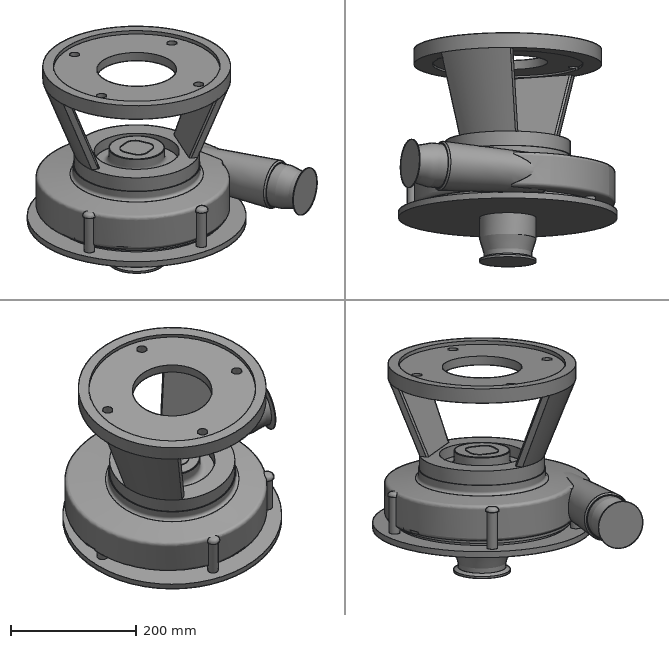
import math

import cadquery as cq

base_thickness = 9.8
body_bottom = 19.5
body_middle = 48.0
hub_foot = 83.0
hub_step = 99.0
hub_top = 122.5
flange_bottom = 249.0
flange_top = 273.0
inlet_bottom = -71.5

base_radius = 174.8
cover_radius = 138.0
cover_rim_radius = 143.0
cover_rim_bottom = 14.5

volute_large_radius = 174.5
volute_mid_radius = 161.5
volute_end_radius = 148.0
volute_start_angle = 135.0
spiral_start_angle = 180.0
spiral_end_angle = 320.0
spiral_end_radius = 154.5
volute_late_angle = 28.0
volute_late_radius = 150.8
volute_end_angle = 96.0
lid_slope = 0.11
lid_inner_radius = 105.0
volute_fillet = 6.0
lid_rim_margin = 1.0
tongue_middle = (33.0, 171.0)
tongue_tip = (75.0, 158.0)

hub_radius = 100.0
hub_foot_radius = 101.5
hub_foot_fillet = 5.0
hub_bore_radius = 68.0
hub_floor = 104.0
shaft_radius = 44.5
shaft_top = 129.5
shaft_fillet = 10.0
shaft_chamfer = 1.0
drive_square = 48.0
drive_corner_radius = 16.5
drive_depth = 1.0
drive_angle = 45.0

flange_radius = 150.0
flange_recess_radius = 133.0
flange_recess_depth = 6.0
flange_bore_radius = 63.5
flange_relief_radius = 120.0
flange_relief_depth = 3.3
flange_hole_offset = 80.5
flange_hole_diameter = 16.0

leg_top_half_width = 59.3
leg_bottom_half_width = 48.0
leg_corner_inset = 23.0
leg_chamfer = 3.0

outlet_angle = 45.0
outlet_offset = 139.6
outlet_cone_start = 0.0
outlet_cone_end = 176.0
outlet_start_radius = 31.0
outlet_end_radius = 39.4
outlet_collar_radius = 37.0
outlet_collar_end = 179.0
outlet_sleeve_radius = 35.3
outlet_sleeve_end = 195.5
outlet_neck_radius = 30.5
outlet_neck_start = 217.5
outlet_neck_end = 226.5
outlet_rim_radius = 38.7
outlet_rim_start = 229.0
outlet_end = 230.4

inlet_radius = 45.2
inlet_neck_radius = 38.3
inlet_taper_top = -34.7
inlet_neck_top = -57.0
inlet_neck_bottom = -64.5
inlet_rim_top = -68.0

post_count = 5
post_circle_radius = 153.0
post_diameter = 17.0
post_first_angle = 27.0
exposed_posts = (0, 4)
exposed_post_top = 77.5
post_head_bottom = 71.0
post_head_radius = 10.8
post_head_fillet = 6.0


def polar(radius, angle):
    return (radius * math.cos(math.radians(angle)), radius * math.sin(math.radians(angle)))


def beside_outlet(along, across):
    """Plan position given along the outlet direction and square to it."""
    c = math.cos(math.radians(outlet_angle))
    s = math.sin(math.radians(outlet_angle))
    return (along * c - across * s, along * s + across * c)


def disc(radius, bottom, top):
    return cq.Workplane("XY").workplane(offset=bottom).circle(radius).extrude(top - bottom)


def turned(profile):
    """Solid of revolution about Z from (radius, height) points."""
    return cq.Workplane("XZ").polyline(profile).close().revolve(360, (0, 0, 0), (0, 1, 0))


def make_base():
    plate = disc(base_radius, 0, base_thickness)
    cover = disc(cover_radius, 0, body_bottom)
    rim = disc(cover_rim_radius, cover_rim_bottom, body_bottom)
    return plate.union(cover).union(rim)


def make_volute():
    spiral_mid_angle = (spiral_start_angle + spiral_end_angle) / 2
    large_mid_angle = (volute_start_angle + spiral_start_angle) / 2
    outline = (
        cq.Workplane("XY")
        .workplane(offset=body_bottom)
        .moveTo(*polar(volute_large_radius, volute_start_angle))
        .threePointArc(
            polar(volute_large_radius, large_mid_angle),
            polar(volute_large_radius, spiral_start_angle),
        )
        .threePointArc(
            polar(volute_mid_radius, spiral_mid_angle),
            polar(spiral_end_radius, spiral_end_angle),
        )
        .threePointArc(
            polar(volute_late_radius, volute_late_angle),
            polar(volute_end_radius, volute_end_angle),
        )
        .lineTo(*beside_outlet(*tongue_tip))
        .threePointArc(
            beside_outlet(*tongue_middle),
            polar(volute_large_radius, volute_start_angle),
        )
        .close()
    )
    lid_outer_radius = 2 * volute_large_radius
    lid_edge = hub_foot - lid_slope * (lid_outer_radius - lid_inner_radius)
    envelope = turned(
        [
            (0, body_bottom),
            (lid_outer_radius, body_bottom),
            (lid_outer_radius, lid_edge),
            (lid_inner_radius, hub_foot),
            (0, hub_foot),
        ]
    )
    body = outline.extrude(hub_foot - body_bottom).intersect(envelope)
    lid_rim_zone = cq.selectors.BoxSelector(
        (-lid_outer_radius, -lid_outer_radius, body_middle + volute_fillet),
        (lid_outer_radius, lid_outer_radius, hub_foot - lid_rim_margin),
    )
    rim_edges = body.edges(lid_rim_zone)
    rim_edges = rim_edges.add(body.faces("<Z").edges())
    return rim_edges.fillet(volute_fillet)


def make_hub():
    fillet_top = hub_foot + hub_foot_fillet
    fillet_radius = hub_foot_radius + hub_foot_fillet
    bend = hub_foot_fillet * (1 - math.sqrt(0.5))
    ring = (
        cq.Workplane("XZ")
        .moveTo(0, hub_foot - hub_foot_fillet)
        .lineTo(fillet_radius, hub_foot - hub_foot_fillet)
        .lineTo(fillet_radius, hub_foot)
        .threePointArc((hub_foot_radius + bend, hub_foot + bend), (hub_foot_radius, fillet_top))
        .lineTo(hub_foot_radius, hub_step)
        .lineTo(hub_radius, hub_step)
        .lineTo(hub_radius, hub_top)
        .lineTo(0, hub_top)
        .close()
        .revolve(360, (0, 0, 0), (0, 1, 0))
    )
    ring = ring.cut(disc(hub_bore_radius, hub_floor, hub_top))
    shaft_bend = shaft_fillet * (1 - math.sqrt(0.5))
    shaft = (
        cq.Workplane("XZ")
        .moveTo(0, hub_foot)
        .lineTo(shaft_radius + shaft_fillet, hub_foot)
        .lineTo(shaft_radius + shaft_fillet, hub_floor)
        .threePointArc(
            (shaft_radius + shaft_bend, hub_floor + shaft_bend),
            (shaft_radius, hub_floor + shaft_fillet),
        )
        .lineTo(shaft_radius, shaft_top - shaft_chamfer)
        .lineTo(shaft_radius - shaft_chamfer, shaft_top)
        .lineTo(0, shaft_top)
        .close()
        .revolve(360, (0, 0, 0), (0, 1, 0))
    )
    drive = (
        cq.Workplane("XY")
        .workplane(offset=shaft_top - drive_depth)
        .rect(drive_square, drive_square)
        .extrude(drive_depth)
        .edges("|Z")
        .fillet(drive_corner_radius)
        .rotate((0, 0, 0), (0, 0, 1), drive_angle)
    )
    return ring.union(shaft).cut(drive)


def make_flange():
    flange = disc(flange_radius, flange_bottom, flange_top)
    flange = flange.cut(disc(flange_recess_radius, flange_top - flange_recess_depth, flange_top))
    relief_top = flange_bottom + flange_relief_depth
    flange = flange.cut(disc(flange_relief_radius, flange_bottom, relief_top))
    flange = flange.cut(disc(flange_bore_radius, flange_bottom, flange_top))
    holes = (
        cq.Workplane("XY")
        .workplane(offset=flange_bottom)
        .rect(2 * flange_hole_offset, 2 * flange_hole_offset, forConstruction=True)
        .vertices()
        .circle(flange_hole_diameter / 2)
        .extrude(flange_top - flange_bottom)
    )
    return flange.cut(holes)


def leg_section(height, radius, half_width):
    corner = math.sqrt(radius**2 - half_width**2)
    path = (
        cq.Workplane("XY")
        .workplane(offset=height)
        .moveTo(-half_width, -corner)
        .threePointArc((0, -radius), (half_width, -corner))
        .lineTo(half_width, leg_corner_inset - radius)
        .lineTo(half_width - leg_chamfer, leg_corner_inset + leg_chamfer - radius)
        .lineTo(leg_chamfer - half_width, leg_corner_inset + leg_chamfer - radius)
        .lineTo(-half_width, leg_corner_inset - radius)
        .close()
    )
    return path.val()


def make_leg():
    bottom = leg_section(hub_top, hub_radius, leg_bottom_half_width)
    top = leg_section(flange_bottom, flange_radius, leg_top_half_width)
    return cq.Workplane(cq.Solid.makeLoft([bottom, top], True))


def make_outlet():
    pipe = turned(
        [
            (0, outlet_cone_start),
            (outlet_start_radius, outlet_cone_start),
            (outlet_end_radius, outlet_cone_end),
            (outlet_collar_radius, outlet_collar_end),
            (outlet_sleeve_radius, outlet_collar_end),
            (outlet_sleeve_radius, outlet_sleeve_end),
            (outlet_neck_radius, outlet_neck_start),
            (outlet_neck_radius, outlet_neck_end),
            (outlet_rim_radius, outlet_rim_start),
            (outlet_rim_radius, outlet_end),
            (0, outlet_end),
        ]
    )
    start_x, start_y = beside_outlet(0, outlet_offset)
    pipe = pipe.rotate((0, 0, 0), (0, 1, 0), 90)
    pipe = pipe.rotate((0, 0, 0), (0, 0, 1), outlet_angle)
    return pipe.translate((start_x, start_y, body_middle))


def make_inlet():
    return turned(
        [
            (0, 0),
            (inlet_radius, 0),
            (inlet_radius, inlet_taper_top),
            (inlet_neck_radius, inlet_neck_top),
            (inlet_neck_radius, inlet_neck_bottom),
            (inlet_radius, inlet_rim_top),
            (inlet_radius, inlet_bottom),
            (0, inlet_bottom),
        ]
    )


def make_post(index):
    exposed = index in exposed_posts
    top = post_head_bottom if exposed else body_middle
    post = disc(post_diameter / 2, 0, top)
    if exposed:
        head = disc(post_head_radius, post_head_bottom, exposed_post_top)
        post = post.union(head.faces(">Z").edges().fillet(post_head_fillet))
    x, y = polar(post_circle_radius, post_first_angle + index * 360 / post_count)
    return post.translate((x, y, 0))


result = make_base().union(make_volute()).union(make_hub())
result = result.union(make_outlet()).union(make_inlet())
for post_index in range(post_count):
    result = result.union(make_post(post_index))
leg = make_leg()
result = result.union(leg).union(leg.mirror("XZ")).union(make_flange())